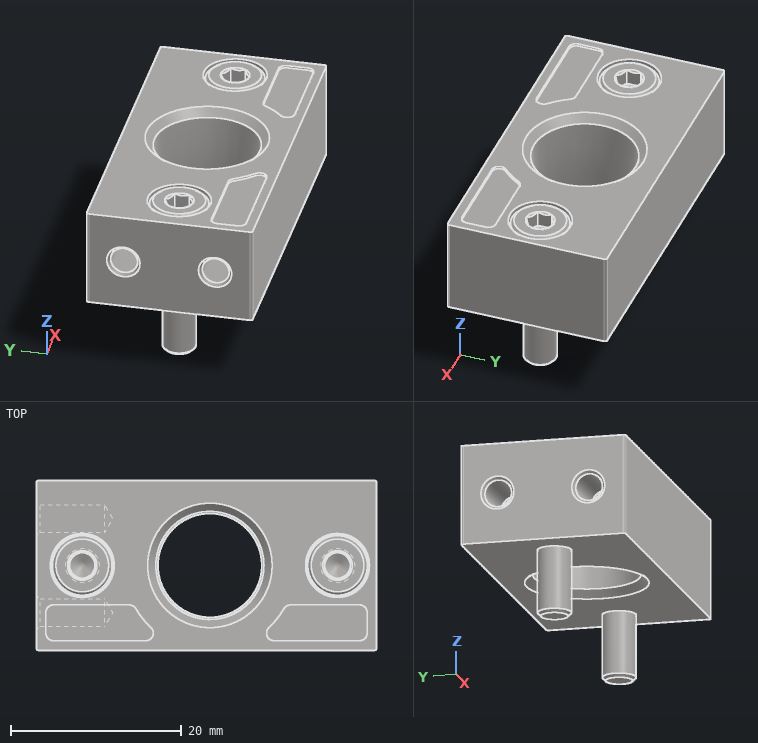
import cadquery as cq
import math

block_length = 40.0
block_width = 20.0
block_height = 12.0
corner_radius = 0.3

axis_x = 0.4

lead_in_diameter = 14.65
rim_diameter = 12.7
waist_diameter = 12.1
lead_in_depth = 0.95

screw_spacing = 30.0
screw_reach = 8.0
shank_diameter = 4.0
shank_chamfer = 0.4
head_diameter = 7.0
head_height = 4.0
head_chamfer = 0.4
socket_flats = 3.0
socket_corners = socket_flats / math.cos(math.pi / 6)
socket_depth = 2.0
socket_point_height = 0.8

counterbore_diameter = 7.5
counterbore_floor_chamfer = 0.1

end_hole_diameter = 3.25
end_hole_mouth = 4.0
end_hole_spacing = 11.05
end_hole_depth = 8.0
end_hole_point_angle = 118.0

pocket_depth = 0.3
pocket_end_margin = 1.1
pocket_side_margin = 1.15
pocket_width = 4.2
pocket_arc_radius = 10.1
pocket_corner_radius = 0.9

top_z = block_height / 2
bottom_z = -top_z
head_seat_z = top_z - head_height
screw_tip_z = bottom_z - screw_reach
screw_places = [axis_x + side * screw_spacing / 2 for side in (-1, 1)]


def revolve_about_z(profile):
    """Turn a closed (radius, z) outline into a solid around the Z axis."""
    return cq.Workplane("XZ").polyline(profile).close().revolve(360, (0, 0), (0, 1))


def make_bore():
    """Waisted bore opening through a cone at the top and the bottom face."""
    rim_z = top_z - lead_in_depth
    rim_radius = rim_diameter / 2
    lead_in_radius = lead_in_diameter / 2
    profile = (
        cq.Workplane("XZ")
        .moveTo(0, top_z)
        .lineTo(lead_in_radius, top_z)
        .lineTo(rim_radius, rim_z)
        .threePointArc((waist_diameter / 2, 0), (rim_radius, -rim_z))
        .lineTo(lead_in_radius, bottom_z)
        .lineTo(0, bottom_z)
        .close()
    )
    return profile.revolve(360, (0, 0), (0, 1)).translate((axis_x, 0, 0))


def make_screw_hole(x):
    """Close-fitting shank hole with a counterbore for the head, bevelled around its floor."""
    shank_radius = shank_diameter / 2
    bore_radius = counterbore_diameter / 2
    floor_radius = bore_radius - counterbore_floor_chamfer
    hole = revolve_about_z([
        (0, top_z),
        (bore_radius, top_z),
        (bore_radius, head_seat_z + counterbore_floor_chamfer),
        (floor_radius, head_seat_z),
        (shank_radius, head_seat_z),
        (shank_radius, bottom_z),
        (0, bottom_z),
    ])
    return hole.translate((x, 0, 0))


def make_end_hole(y):
    """Blind drilled hole with a chamfered mouth, entering from the -X end."""
    radius = end_hole_diameter / 2
    mouth_radius = end_hole_mouth / 2
    point_height = radius / math.tan(math.radians(end_hole_point_angle / 2))
    hole = revolve_about_z([
        (0, 0),
        (mouth_radius, 0),
        (radius, mouth_radius - radius),
        (radius, end_hole_depth),
        (0, end_hole_depth + point_height),
    ])
    return hole.rotate((0, 0, 0), (0, 1, 0), 90).translate((-block_length / 2, y, 0))


def make_pocket(side):
    """Shallow label pocket whose inner end is an arc around the bore axis."""
    near_y = -block_width / 2 + pocket_side_margin
    far_y = near_y + pocket_width
    middle_y = (near_y + far_y) / 2
    outer_x = side * (block_length / 2 - pocket_end_margin)

    def arc_point(y):
        return (axis_x + side * math.sqrt(pocket_arc_radius**2 - y**2), y)

    outline = (
        cq.Workplane("XY", origin=(0, 0, top_z - pocket_depth))
        .moveTo(outer_x, near_y)
        .lineTo(*arc_point(near_y))
        .threePointArc(arc_point(middle_y), arc_point(far_y))
        .lineTo(outer_x, far_y)
        .close()
    )
    return outline.extrude(pocket_depth).edges("|Z").fillet(pocket_corner_radius)


def make_block():
    block = cq.Workplane("XY").box(block_length, block_width, block_height)
    block = block.edges("|Z").fillet(corner_radius)
    block = block.cut(make_bore())
    for x in screw_places:
        block = block.cut(make_screw_hole(x))
    for side in (-1, 1):
        block = block.cut(make_end_hole(side * end_hole_spacing / 2))
        block = block.cut(make_pocket(side))
    return block


def make_socket():
    """Hexagonal key socket with a countersunk mouth and a conical bottom."""
    mouth_radius = socket_corners / 2
    flat_radius = socket_flats / 2
    floor_z = top_z - socket_depth
    hexagon = cq.Workplane("XY", origin=(0, 0, floor_z)).polygon(6, socket_corners).extrude(socket_depth)
    hexagon = hexagon.rotate((0, 0, 0), (0, 0, 1), 30)
    countersink = revolve_about_z([
        (0, top_z),
        (mouth_radius, top_z),
        (0, top_z - mouth_radius),
    ])
    point = revolve_about_z([
        (0, floor_z),
        (flat_radius, floor_z),
        (0, floor_z - socket_point_height),
    ])
    return hexagon.union(countersink).union(point)


def make_screw(x):
    """Socket head cap screw with chamfered head and tip."""
    head_radius = head_diameter / 2
    shank_radius = shank_diameter / 2
    screw = revolve_about_z([
        (0, top_z),
        (head_radius - head_chamfer, top_z),
        (head_radius, top_z - head_chamfer),
        (head_radius, head_seat_z),
        (shank_radius, head_seat_z),
        (shank_radius, screw_tip_z + shank_chamfer),
        (shank_radius - shank_chamfer, screw_tip_z),
        (0, screw_tip_z),
    ])
    return screw.cut(make_socket()).translate((x, 0, 0))


block = make_block()
screws = [make_screw(x) for x in screw_places]

result = cq.Compound.makeCompound([block.val(), *[screw.val() for screw in screws]])